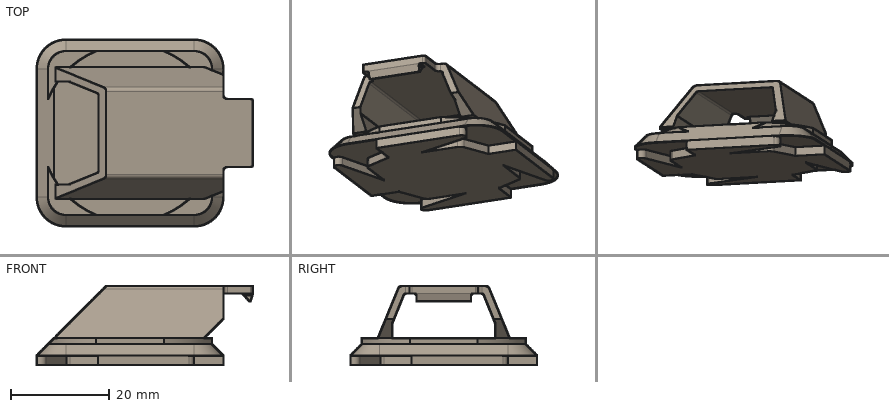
import cadquery as cq
import math

side = 38.0
half = side / 2
corner_radius = 6.0
flange_bottom = 1.8
rim_height = 0.15
chamfer = 2.35
flange_top = flange_bottom + rim_height + chamfer

pad_radius = 18.05
pad_top = 5.5
pad_half = half - chamfer

front_offset = flange_bottom + rim_height

total_height = 16.1
wall = 1.6
hood_base_half = 13.4
hood_top_half = 9.05
hood_fillet = 0.95
opening_half = 10.45
opening_bend_z = 8.45
opening_top_half = 8.0
opening_fillet = 0.5
rear_bevel_z = 9.4
toe_relief = 0.25

total_length = 44
tab_half = 6.95
tab_root_radius = 0.8
tab_tip_radius = 0.55
catch_length = 2.15
catch_depth = 1.6
catch_tip_start = 0.7
catch_tip_end = 0.5
catch_half = 5.55
catch_flare = 0.35

arm_root = 6.5
arm_reach = 13.02
arm_tip_radius = 1.0
arm_tip_turn = math.radians(160)
core_half = 12.9
core_corner_y = -8.8
core_corner_radius = 1.3
core_slope = math.radians(27)


def extrude_across_y(points, y_half):
    """Extrude an XZ outline symmetrically about y = 0."""
    return cq.Workplane("XZ").polyline(points).close().extrude(y_half, both=True)


def extrude_along_x(points, length):
    """Extrude a YZ outline from x = 0 toward +X."""
    return cq.Workplane("YZ").polyline(points).close().extrude(length)


def on_arc(center, radius, angle):
    return (center[0] + radius * math.cos(angle), center[1] + radius * math.sin(angle))


def turned(point, quarter):
    """Turn a point about the foot axis by quarter turns."""
    x, y = point
    for _ in range(quarter):
        x, y = -y, x
    return (x, y)


def make_foot():
    tip_center = (-half + arm_tip_radius, -arm_reach + arm_tip_radius)
    tip_middle = on_arc(tip_center, arm_tip_radius, math.pi + arm_tip_turn / 2)
    tip_end = on_arc(tip_center, arm_tip_radius, math.pi + arm_tip_turn)
    inner_rise = (-core_half - tip_end[0]) / math.tan(math.pi - arm_tip_turn)
    inner_end = (-core_half, tip_end[1] + inner_rise)

    core_center = (-core_half + core_corner_radius, core_corner_y)
    core_turn = math.pi / 2 - core_slope
    core_middle = on_arc(core_center, core_corner_radius, math.pi + core_turn / 2)
    core_end = on_arc(core_center, core_corner_radius, math.pi + core_turn)

    outline = cq.Workplane("XY").moveTo(-core_half, arm_root)
    for quarter in range(4):
        outline = (
            outline.lineTo(*turned((-half, arm_root), quarter))
            .lineTo(*turned((-half, tip_center[1]), quarter))
            .threePointArc(turned(tip_middle, quarter), turned(tip_end, quarter))
            .lineTo(*turned(inner_end, quarter))
            .lineTo(*turned((-core_half, core_corner_y), quarter))
            .threePointArc(turned(core_middle, quarter), turned(core_end, quarter))
        )
        if quarter < 3:
            outline = outline.lineTo(*turned((-arm_root, -core_half), quarter))
    return outline.close().extrude(flange_bottom).translate((half, 0, 0))


def make_flange():
    return (
        cq.Workplane("XY", origin=(half, 0, flange_bottom))
        .rect(side, side)
        .extrude(flange_top - flange_bottom)
        .edges("|Z").fillet(corner_radius)
        .faces(">Z").chamfer(chamfer)
    )


def make_pad():
    height = pad_top - flange_top
    base = cq.Workplane("XY", origin=(half, 0, flange_top))
    trim = base.rect(2 * pad_half, 2 * pad_half).extrude(height)
    pad = base.circle(pad_radius).extrude(height).intersect(trim)
    front = extrude_across_y(
        [
            (flange_top - front_offset, flange_top),
            (side, flange_top),
            (side, pad_top),
            (pad_top - front_offset, pad_top),
        ],
        half,
    )
    return pad.intersect(front)


def make_hood():
    shell = extrude_along_x(
        [
            (-hood_base_half, pad_top),
            (hood_base_half, pad_top),
            (hood_top_half, total_height),
            (-hood_top_half, total_height),
        ],
        side,
    ).edges("|X and >Z").fillet(hood_fillet)
    opening = extrude_along_x(
        [
            (-opening_half, pad_top),
            (opening_half, pad_top),
            (opening_half, opening_bend_z),
            (opening_top_half, total_height - wall),
            (-opening_top_half, total_height - wall),
            (-opening_half, opening_bend_z),
        ],
        side,
    ).edges("|X and >Z").fillet(opening_fillet)
    toe_x = pad_top + toe_relief - front_offset
    profile = extrude_across_y(
        [
            (toe_x + toe_relief, pad_top),
            (toe_x, pad_top + toe_relief),
            (total_height - front_offset, total_height),
            (side, total_height),
            (side, rear_bevel_z),
            (side - (rear_bevel_z - pad_top), pad_top),
        ],
        half,
    )
    return shell.cut(opening).intersect(profile)


def make_tab():
    underside = total_height - wall
    root_half = tab_half + tab_root_radius
    root_end = side + tab_root_radius
    bend = tab_root_radius * (1 - math.sqrt(0.5))
    tab = (
        cq.Workplane("XY", origin=(0, 0, underside))
        .moveTo(side, -root_half)
        .threePointArc((side + bend, -tab_half - bend), (root_end, -tab_half))
        .lineTo(total_length, -tab_half)
        .lineTo(total_length, tab_half)
        .lineTo(root_end, tab_half)
        .threePointArc((side + bend, tab_half + bend), (side, root_half))
        .close()
        .extrude(wall)
        .edges("|Z and >X").fillet(tab_tip_radius)
    )
    hook = extrude_across_y(
        [
            (total_length - catch_length, underside),
            (total_length - catch_tip_start, underside - catch_depth),
            (total_length - catch_tip_end, underside - catch_depth),
            (total_length, underside),
        ],
        tab_half,
    )
    flared = catch_half + catch_flare
    ends = extrude_along_x(
        [
            (-flared, underside),
            (-catch_half, underside - catch_flare),
            (-catch_half, underside - catch_depth),
            (catch_half, underside - catch_depth),
            (catch_half, underside - catch_flare),
            (flared, underside),
        ],
        total_length,
    )
    return tab.union(hook.intersect(ends))


result = make_foot().union(make_flange()).union(make_pad()).union(make_hood()).union(make_tab())